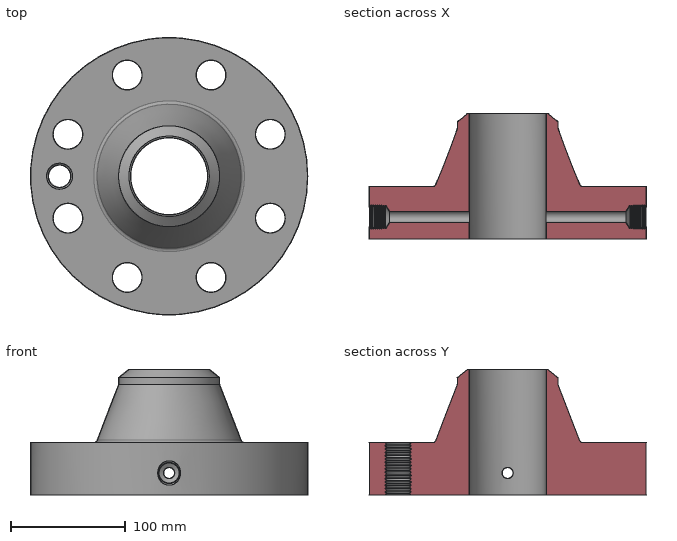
import cadquery as cq
import math

flange_diameter = 241.3
flange_radius = flange_diameter / 2
flange_thickness = 45.8
overall_height = 109.5

bore_diameter = 66.8
weld_lip_diameter = 70.0
neck_diameter = 87.8
weld_bevel_height = 7.2
neck_collar_height = 5.8
hub_base_diameter = 127.0
hub_fillet_radius = 3.1

bolt_circle_radius = 95.3
bolt_hole_diameter = 25.5
bolt_count = 8
bolt_spacing = 360 / bolt_count

jack_major_diameter = 22.7
jack_minor_diameter = 19.3
jack_turns = 16
jack_pitch = flange_thickness / jack_turns

tap_height = 19.3
tap_major_diameter = 21.2
tap_minor_diameter = 18.3
tap_pitch = 1.8
tap_turns = 8
tap_radius_taper = 1 / 32
tap_orifice_diameter = 9.5
drill_point_half_angle = 59.0


def flange_with_neck():
    """Revolve the plate, the filleted conical hub and the bevelled weld end."""
    bore_radius = bore_diameter / 2
    neck_radius = neck_diameter / 2
    hub_base_radius = hub_base_diameter / 2
    bevel_z = overall_height - weld_bevel_height
    cone_top_z = bevel_z - neck_collar_height

    cone_angle = math.atan2(cone_top_z - flange_thickness, hub_base_radius - neck_radius)
    tangent_length = hub_fillet_radius * math.tan(cone_angle / 2)
    fillet_top = (
        hub_base_radius - tangent_length * math.cos(cone_angle),
        flange_thickness + tangent_length * math.sin(cone_angle),
    )
    profile = (
        cq.Workplane("XZ")
        .moveTo(bore_radius, 0)
        .lineTo(flange_radius, 0)
        .lineTo(flange_radius, flange_thickness)
        .lineTo(hub_base_radius + tangent_length, flange_thickness)
        .tangentArcPoint(fillet_top, relative=False)
        .lineTo(neck_radius, cone_top_z)
        .lineTo(neck_radius, bevel_z)
        .lineTo(weld_lip_diameter / 2, overall_height)
        .lineTo(bore_radius, overall_height)
        .close()
    )
    return profile.revolve(360, (0, 0, 0), (0, 1, 0))


def bolt_holes():
    """Bolt holes straddling the X and Y axes."""
    return (
        cq.Workplane("XY")
        .polarArray(bolt_circle_radius, bolt_spacing / 2, 360, bolt_count)
        .circle(bolt_hole_diameter / 2)
        .extrude(flange_thickness)
    )


def thread_cutter(major_diameter, minor_diameter, pitch, turns, radius_taper=0.0, end_diameter=0.0):
    """Ring-grooved thread along +Z from the origin, closed by a drill point down to end_diameter if given."""
    points = [(0, 0)]
    for turn in range(turns):
        root_z = turn * pitch
        crest_z = root_z + pitch / 2
        points.append((major_diameter / 2 - radius_taper * root_z, root_z))
        points.append((minor_diameter / 2 - radius_taper * crest_z, crest_z))
    depth = turns * pitch
    end_radius = major_diameter / 2 - radius_taper * depth
    points.append((end_radius, depth))
    if end_diameter:
        drop = end_radius - end_diameter / 2
        depth += drop / math.tan(math.radians(drill_point_half_angle))
        points.append((end_diameter / 2, depth))
    points.append((0, depth))
    return cq.Workplane("XZ").polyline(points).close().revolve(360, (0, 0, 0), (0, 1, 0))


def jack_screw_hole():
    """Threaded through hole on the bolt circle, on the -X side."""
    thread = thread_cutter(jack_major_diameter, jack_minor_diameter, jack_pitch, jack_turns)
    return thread.translate((-bolt_circle_radius, 0, 0))


def pressure_taps():
    """Opposite threaded taps on the Y axis, joined to the bore by a small orifice."""
    thread = thread_cutter(
        tap_major_diameter, tap_minor_diameter, tap_pitch, tap_turns, tap_radius_taper, tap_orifice_diameter
    )
    front_tap = thread.rotate((0, 0, 0), (1, 0, 0), -90).translate((0, -flange_radius, tap_height))
    back_tap = front_tap.mirror("XZ")
    orifice = (
        cq.Workplane("XZ")
        .center(0, tap_height)
        .circle(tap_orifice_diameter / 2)
        .extrude(flange_radius, both=True)
    )
    return orifice.union(front_tap).union(back_tap)


result = flange_with_neck().cut(bolt_holes()).cut(jack_screw_hole()).cut(pressure_taps())